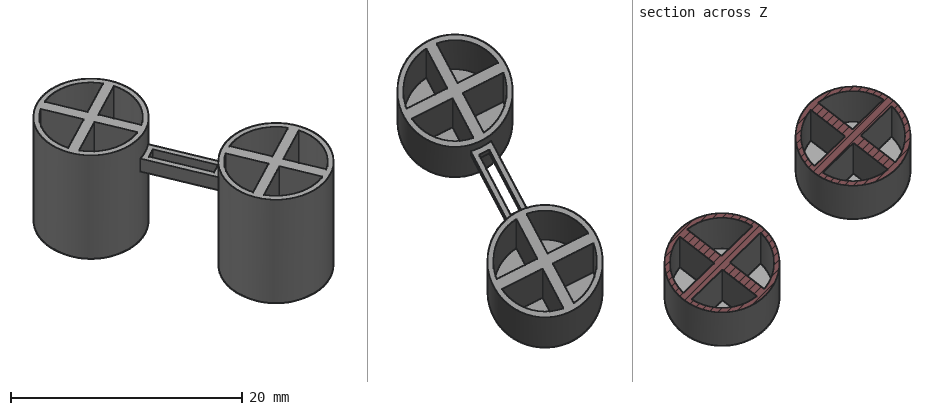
import cadquery as cq

total_length = 27.0
cup_diameter = 10.0
cup_height = 12.5
cup_radius = cup_diameter / 2
cup_offset = (total_length - cup_diameter) / 2

wall = 0.5
floor_thickness = 1.0
rib_thickness = 1.0
bottom_chamfer = 0.5

bridge_width = 2.0
bridge_height = 1.5
bridge_top_drop = 2.5
slot_length = 6.0
slot_width = 1.0


def make_cup_body():
    """Solid cylinder with a chamfered bottom edge."""
    body = cq.Workplane("XY").circle(cup_radius).extrude(cup_height)
    return body.faces("<Z").chamfer(bottom_chamfer)


def make_cup_pockets():
    """Four quadrant pockets left between the crossed ribs."""
    pocket_depth = cup_height - floor_thickness
    base = cq.Workplane("XY").workplane(offset=floor_thickness)
    bore = base.circle(cup_radius - wall).extrude(pocket_depth)
    rib_along_x = base.rect(cup_diameter, rib_thickness).extrude(pocket_depth)
    rib_along_y = base.rect(rib_thickness, cup_diameter).extrude(pocket_depth)
    return bore.cut(rib_along_x).cut(rib_along_y)


def make_bridge():
    """Bar running between the cup axes, with a vertical through slot."""
    bottom = cup_height - bridge_top_drop - bridge_height
    base = cq.Workplane("XY").workplane(offset=bottom)
    bar = base.rect(2 * cup_offset, bridge_width).extrude(bridge_height)
    slot = base.rect(slot_length, slot_width).extrude(bridge_height)
    return bar.cut(slot)


result = make_bridge()
cup_centers = [-cup_offset, cup_offset]
for center_x in cup_centers:
    result = result.union(make_cup_body().translate((center_x, 0, 0)))
for center_x in cup_centers:
    result = result.cut(make_cup_pockets().translate((center_x, 0, 0)))